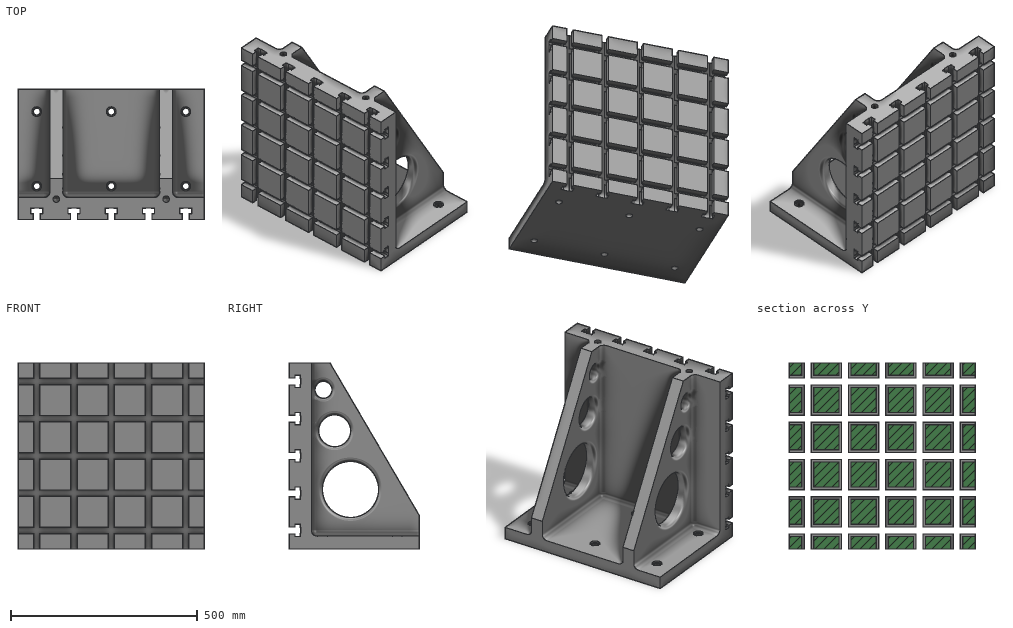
import cadquery as cq
import math

WIDTH = 500.0
DEPTH = 350.0
HEIGHT = 500.0
MID_X = WIDTH / 2
MID_Z = HEIGHT / 2

PLATE_THICKNESS = 60.0
BASE_THICKNESS = 35.0
CORNER_RADIUS = 15.0

RIB_THICKNESS = 35.0
RIB_SPACING = 295.0
RIB_TOP_REACH = 110.0
RIB_REAR_HEIGHT = 90.0
RIB_CENTRES = [MID_X - RIB_SPACING / 2, MID_X + RIB_SPACING / 2]

RIB_WINDOWS = [
    (165.0, 160.0, 150.0),
    (122.5, 317.5, 85.0),
    (92.5, 427.5, 45.0),
]
WINDOW_EDGE_RADIUS = 10.0

SLOT_PITCH = 100.0
SLOT_COUNT = 5
SLOT_NECK_WIDTH = 18.0
SLOT_HEAD_WIDTH = 32.0
SLOT_HEAD_START = 16.0
SLOT_DEPTH = 30.0
SLOT_GROOVE_WIDTH = 16.0
SLOT_GROOVE_DEPTH = 1.0

BOLT_DIAMETER = 18.0
BOLT_SEAT_DIAMETER = 26.0
BOLT_SEAT_DEPTH = 5.0
BOLT_PITCH_X = 200.0
BOLT_COLUMNS = [-1, 0, 1]
BOLT_ROWS_Y = [90.0, 290.0]

LIFT_HOLE_DIAMETER = 17.5
LIFT_HOLE_DEPTH = 40.0
LIFT_HOLE_Y = 55.0
DRILL_TIP_ANGLE = 118.0

TOLERANCE = 0.005


def make_plates():
    upright = cq.Workplane("XY").box(WIDTH, PLATE_THICKNESS, HEIGHT, centered=False)
    base = cq.Workplane("XY").box(WIDTH, DEPTH, BASE_THICKNESS, centered=False)
    return upright.union(base)


def make_rib(centre_x):
    outline = [
        (0, 0),
        (DEPTH, 0),
        (DEPTH, RIB_REAR_HEIGHT),
        (RIB_TOP_REACH, HEIGHT),
        (0, HEIGHT),
    ]
    start = cq.Workplane("YZ", origin=(centre_x - RIB_THICKNESS / 2, 0, 0))
    return start.polyline(outline).close().extrude(RIB_THICKNESS)


def make_window(centre_x, y, z, diameter):
    """Cutter for a round window whose two mouths flare out with a quarter-round edge."""
    bore = diameter / 2
    mouth = bore + WINDOW_EDGE_RADIUS
    face = RIB_THICKNESS / 2
    throat = face - WINDOW_EDGE_RADIUS
    arc_rise = WINDOW_EDGE_RADIUS * (1 - math.sin(math.radians(45)))
    section = (
        cq.Workplane("XY", origin=(centre_x, y, z))
        .moveTo(-face, 0)
        .lineTo(-face, mouth)
        .threePointArc((-face + arc_rise, bore + arc_rise), (-throat, bore))
        .lineTo(throat, bore)
        .threePointArc((face - arc_rise, bore + arc_rise), (face, mouth))
        .lineTo(face, 0)
        .close()
    )
    return section.revolve(360, (0, 0, 0), (1, 0, 0))


def is_inside_corner(edge):
    """True for an edge where two of plate back, base top and rib side meet."""
    box = edge.BoundingBox()
    rib_sides = [x + side * RIB_THICKNESS / 2 for x in RIB_CENTRES for side in (-1, 1)]
    on_plate = box.ylen < TOLERANCE and abs(box.ymin - PLATE_THICKNESS) < TOLERANCE
    on_base = box.zlen < TOLERANCE and abs(box.zmin - BASE_THICKNESS) < TOLERANCE
    on_rib = box.xlen < TOLERANCE and any(abs(box.xmin - x) < TOLERANCE for x in rib_sides)
    return on_plate + on_base + on_rib == 2


def fillet_inside_corners(bracket):
    corners = [edge for edge in bracket.edges().vals() if is_inside_corner(edge)]
    return bracket.newObject(corners).fillet(CORNER_RADIUS)


def make_slot_step(width, start, end, length):
    """Upright bar from the bottom, centred on x = 0, between two depths behind the face."""
    bar = cq.Workplane("XY").box(width, end - start, length, centered=(True, False, False))
    return bar.translate((0, start, 0))


def make_t_slot(length):
    """Upright T-slot cutter: neck, wider head and a shallow relief groove in the floor."""
    neck = make_slot_step(SLOT_NECK_WIDTH, 0, SLOT_DEPTH, length)
    head = make_slot_step(SLOT_HEAD_WIDTH, SLOT_HEAD_START, SLOT_DEPTH, length)
    groove = make_slot_step(SLOT_GROOVE_WIDTH, 0, SLOT_DEPTH + SLOT_GROOVE_DEPTH, length)
    return neck.union(head).union(groove)


def make_slot_grid():
    grid = cq.Workplane("XY")
    for i in range(SLOT_COUNT):
        offset = (i - (SLOT_COUNT - 1) / 2) * SLOT_PITCH
        upright = make_t_slot(HEIGHT).translate((MID_X + offset, 0, 0))
        level = make_t_slot(WIDTH).rotate((0, 0, 0), (0, 1, 0), 90).translate((0, 0, MID_Z + offset))
        grid = grid.union(upright).union(level)
    return grid


def drill_bolt_holes(bracket):
    positions = [(MID_X + i * BOLT_PITCH_X, y) for i in BOLT_COLUMNS for y in BOLT_ROWS_Y]
    return (
        bracket.copyWorkplane(cq.Workplane("XY", origin=(0, 0, BASE_THICKNESS)))
        .pushPoints(positions)
        .cboreHole(BOLT_DIAMETER, BOLT_SEAT_DIAMETER, BOLT_SEAT_DEPTH, depth=BASE_THICKNESS)
    )


def make_lift_hole(x):
    """Cutter for a drilled hole with a conical tip below its full-diameter depth."""
    radius = LIFT_HOLE_DIAMETER / 2
    tip_depth = LIFT_HOLE_DEPTH + radius / math.tan(math.radians(DRILL_TIP_ANGLE / 2))
    section = [(0, 0), (radius, 0), (radius, -LIFT_HOLE_DEPTH), (0, -tip_depth)]
    start = cq.Workplane("XZ", origin=(x, LIFT_HOLE_Y, HEIGHT))
    return start.polyline(section).close().revolve(360, (0, 0, 0), (0, 1, 0))


result = make_plates()
for rib_x in RIB_CENTRES:
    result = result.union(make_rib(rib_x))
for rib_x in RIB_CENTRES:
    for window_y, window_z, window_diameter in RIB_WINDOWS:
        result = result.cut(make_window(rib_x, window_y, window_z, window_diameter))
result = fillet_inside_corners(result)

result = result.cut(make_slot_grid())
result = drill_bolt_holes(result)
for rib_x in RIB_CENTRES:
    result = result.cut(make_lift_hole(rib_x))